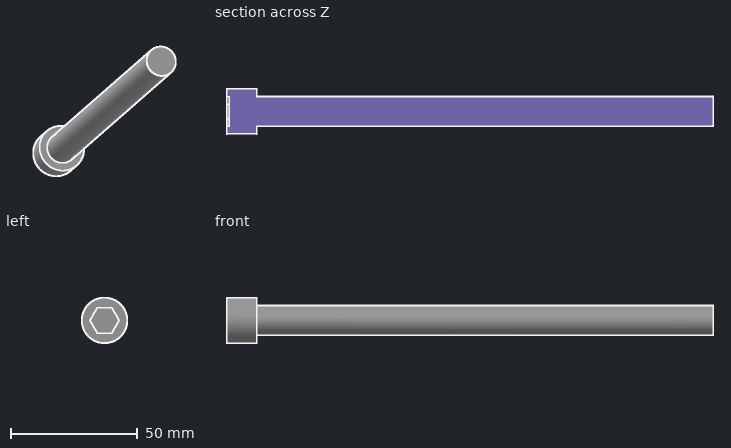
import cadquery as cq
import math

total_length = 192.0
head_diameter = 18.0
head_length = 12.0
shank_diameter = 12.0
tip_chamfer = 0.1
socket_across_flats = 10.0
socket_depth = 1.0

head_face_x = -total_length / 2

head_face = cq.Workplane("YZ", origin=(head_face_x, 0, 0))
head = head_face.circle(head_diameter / 2).extrude(head_length)
shank = head_face.circle(shank_diameter / 2).extrude(total_length)
shank = shank.faces(">X").chamfer(tip_chamfer)

socket_across_corners = socket_across_flats / math.cos(math.pi / 6)
socket = head_face.polygon(6, socket_across_corners).extrude(socket_depth)

result = head.union(shank).cut(socket)